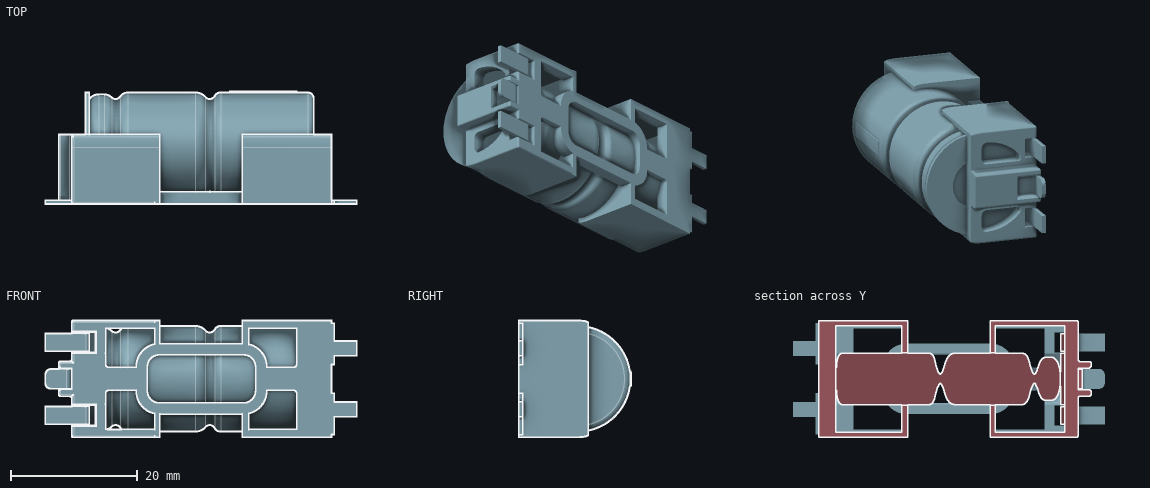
import cadquery as cq
import math


length = 49.2
housing_half_width = 9.25
housing_height = 11.0
sheet = 0.65

cell_axis_y = 9.3
cell_radius = 8.35
cell_end_x = 42.4
cell_end_fillet = 1.0
bead_radius = 8.05
bead_start_x = 8.45
bead_end_x = 9.3
cap_radius = 7.35
groove_radius = 7.35
groove_bottom_round = 0.9
end_groove_x = 11.1
end_groove_right_run = 1.9
mid_groove_x = 26.0
mid_groove_left_run = 2.25
mid_groove_right_run = 1.7
pad_start_x = 29.15
pad_end_x = 39.7
pad_half_width = 1.2
pad_radius = 8.5

ring_left_x = 6.35
ring_right_x = ring_left_x + sheet
ring_hole_radius = 4.0
side_leg_z = 5.75
side_leg_width = 2.85
bend_inner_radius = 0.5
side_leg_bend = 0.6

tab_width = 3.15
tab_tip_fillet = 0.95
tab_bend = 0.85

left_block_x = 4.2
left_block_end_x = 18.1
right_block_x = 31.1
right_block_end_x = 45.2
edge_round = 0.3
shoulder_y = 9.0
shoulder_top_y = 10.65
shoulder_inset = 0.15
top_bevel = 0.2
floor_thickness = 1.95
cavity_half_width = 8.35

oval_start_x = 16.15
oval_end_x = 33.2
oval_half_width = 3.8
oval_corner = 1.85
frame_width = 1.75
left_windows_x = (9.55, 17.25)
right_windows_x = (32.15, 39.7)
window_inner_z = 1.8
window_outer_z = 7.95
window_fillet = 0.5

boss_left_x = 2.1
boss_half_width = 2.75
boss_edge_round = 0.3
boss_root_round = 0.35
tab_pocket_half_width = 1.65
tab_pocket_height = 4.0
tab_pocket_flare = 0.3

leg_pocket_width = 3.15
leg_pocket_end_x = 7.9
leg_pocket_height = 2.0
pocket_chamfer = 0.15

tear_center_y = 8.45
tear_radius = 7.4
tear_low_y = 2.7
tear_high_y = 9.25
tear_inner_z = 3.8
tear_high_fillet = 0.9
tear_low_fillet = 0.3

foot_plate_end_x = 45.65
foot_plate_half_width = 8.8
foot_notch_half_width = 2.25
foot_z = 4.8
foot_width = 2.35


def block(x0, x1, y0, y1, z0, z1):
    """Box between two corners."""
    return cq.Workplane("XY").box(x1 - x0, y1 - y0, z1 - z0, centered=False).translate((x0, y0, z0))


def centred_block(x0, x1, y0, y1, z, width):
    """Box of a given width centred on a Z position."""
    return block(x0, x1, y0, y1, z - width / 2, z + width / 2)


def cylinder(x0, x1, radius):
    """Cylinder on the cell axis."""
    return cq.Workplane("YZ", origin=(x0, cell_axis_y, 0)).circle(radius).extrude(x1 - x0)


def arc_middle(center, start, end, radius):
    """Point halfway along the short arc between two points of a circle."""
    dx = (start[0] + end[0]) / 2 - center[0]
    dy = (start[1] + end[1]) / 2 - center[1]
    scale = radius / math.hypot(dx, dy)
    return (center[0] + dx * scale, center[1] + dy * scale)



def groove_flank(bottom_x, outer_radius, run):
    """Points of one S-shaped groove flank, from the groove bottom outward.

    A negative run goes to the left. Returns (arc middle, inflection, arc middle, flank top).
    """
    rise = outer_radius - groove_radius
    radius_sum = (run**2 + rise**2) / (2 * rise)
    shoulder_round = radius_sum - groove_bottom_round
    share = groove_bottom_round / radius_sum
    bottom = (bottom_x, groove_radius)
    top = (bottom_x + run, outer_radius)
    inflection = (bottom_x + run * share, groove_radius + rise * share)
    bottom_center = (bottom_x, groove_radius + groove_bottom_round)
    top_center = (top[0], outer_radius - shoulder_round)
    bottom_middle = arc_middle(bottom_center, bottom, inflection, groove_bottom_round)
    top_middle = arc_middle(top_center, inflection, top, shoulder_round)
    return bottom_middle, inflection, top_middle, top


def add_groove(profile, bottom_x, left_radius, left_run, right_run):
    """Carry the cell profile down one groove flank and up the other."""
    bottom_middle, inflection, top_middle, top = groove_flank(bottom_x, left_radius, -left_run)
    profile = profile.lineTo(*top).threePointArc(top_middle, inflection)
    profile = profile.threePointArc(bottom_middle, (bottom_x, groove_radius))
    bottom_middle, inflection, top_middle, top = groove_flank(bottom_x, cell_radius, right_run)
    return profile.threePointArc(bottom_middle, inflection).threePointArc(top_middle, top)


def make_cell():
    bead_run = bead_start_x - ring_right_x
    bead_rise = bead_radius - cap_radius
    bead_round = (bead_run**2 + bead_rise**2) / (2 * bead_rise)
    cap_edge = (ring_right_x, cap_radius)
    bead_start = (bead_start_x, bead_radius)
    bead_center = (bead_start_x, bead_radius - bead_round)
    profile = cq.Workplane("XZ").moveTo(ring_right_x, 0).lineTo(*cap_edge)
    profile = profile.threePointArc(arc_middle(bead_center, cap_edge, bead_start, bead_round), bead_start)
    profile = add_groove(profile, end_groove_x, bead_radius, end_groove_x - bead_end_x, end_groove_right_run)
    profile = add_groove(profile, mid_groove_x, cell_radius, mid_groove_left_run, mid_groove_right_run)
    profile = profile.lineTo(cell_end_x, cell_radius).lineTo(cell_end_x, 0).close()
    can = profile.revolve(360, (0, 0, 0), (1, 0, 0)).faces(">X").edges().fillet(cell_end_fillet)
    can = can.translate((0, cell_axis_y, 0))
    pad_bounds = centred_block(
        pad_start_x, pad_end_x, cell_axis_y, cell_axis_y + pad_radius, 0, 2 * pad_half_width
    )
    pad = cylinder(pad_start_x, pad_end_x, pad_radius).intersect(pad_bounds)
    return can.union(pad)



def bent_leg(left_x, top_y, z, width, outer_radius):
    """Flat leg from X = 0 that bends upward into a strip starting at left_x."""
    profile = (
        cq.Workplane("XY", origin=(0, 0, z - width / 2))
        .moveTo(0, 0)
        .lineTo(left_x + sheet, 0)
        .lineTo(left_x + sheet, top_y)
        .lineTo(left_x, top_y)
        .lineTo(left_x, sheet)
        .lineTo(0, sheet)
        .close()
    )
    leg = profile.extrude(width)
    leg = leg.edges(cq.selectors.NearestToPointSelector((left_x, sheet, z))).fillet(bend_inner_radius)
    return leg.edges(cq.selectors.NearestToPointSelector((left_x + sheet, 0, z))).fillet(outer_radius)


def make_ring_contact():
    ring = cylinder(ring_left_x, ring_right_x, cell_radius)
    for z in (-side_leg_z, side_leg_z):
        leg_top_y = cell_axis_y - ring_hole_radius
        ring = ring.union(bent_leg(ring_left_x, leg_top_y, z, side_leg_width, side_leg_bend))
    return ring.cut(cylinder(ring_left_x, ring_right_x, ring_hole_radius))


def make_centre_contact():
    tab = bent_leg(left_block_x - sheet, tab_pocket_height, 0, tab_width, tab_bend)
    return tab.faces("<X").edges("|Y").fillet(tab_tip_fillet)



def holder_block(x0, x1):
    """Block whose side walls curve in slightly toward the open top."""
    rise = shoulder_top_y - shoulder_y
    wall_round = (rise**2 + shoulder_inset**2) / (2 * shoulder_inset)
    shoulder = (shoulder_y, housing_half_width)
    curve_end = (shoulder_top_y, housing_half_width - shoulder_inset)
    top = (housing_height, curve_end[1] - top_bevel)
    middle = arc_middle((shoulder_y, housing_half_width - wall_round), shoulder, curve_end, wall_round)
    return (
        cq.Workplane("YZ", origin=(x0, 0, 0))
        .moveTo(0, housing_half_width)
        .lineTo(*shoulder)
        .threePointArc(middle, curve_end)
        .lineTo(*top)
        .lineTo(top[0], -top[1])
        .lineTo(curve_end[0], -curve_end[1])
        .threePointArc((middle[0], -middle[1]), (shoulder[0], -shoulder[1]))
        .lineTo(0, -housing_half_width)
        .close()
        .extrude(x1 - x0)
    )


def left_block():
    """Left block with its bottom and end edges rounded up to the end of the floor windows."""
    rounded_end_x = left_windows_x[1]
    rounded = holder_block(left_block_x, rounded_end_x)
    bottom_edges = rounded.faces("<Y").edges("|X or <X")
    end_edges = rounded.faces("<X").edges("<Z or >Z")
    rounded = bottom_edges.add(end_edges).fillet(edge_round)
    return rounded.union(holder_block(rounded_end_x, left_block_end_x))


def boss():
    """Tall boss on the left end wall, blended into the wall."""
    body = centred_block(boss_left_x, ring_left_x, 0, housing_height, 0, 2 * boss_half_width)
    body = body.faces("<X").edges("|Y").fillet(boss_edge_round)
    return body.faces("<Y").edges("<X").fillet(boss_edge_round)


def boss_root(side):
    """Concave blend between one side of the boss and the end wall."""
    root = block(
        left_block_x - boss_root_round, left_block_x + edge_round, edge_round, housing_height,
        boss_half_width, boss_half_width + boss_root_round,
    )
    hollow = (
        cq.Workplane("XZ", origin=(left_block_x - boss_root_round, 0, boss_half_width + boss_root_round))
        .circle(boss_root_round)
        .extrude(-housing_height)
    )
    root = root.cut(hollow)
    return root if side > 0 else root.mirror("XY")


def cell_cavity():
    """Round seat for the cell, squared off above the floor inside both blocks."""
    cavity = cylinder(ring_left_x, cell_end_x, cell_radius)
    for x0, x1 in ((ring_left_x, left_windows_x[1]), (right_windows_x[0], cell_end_x)):
        cavity = cavity.union(
            centred_block(x0, x1, floor_thickness, cell_axis_y, 0, 2 * cavity_half_width)
        )
    return cavity


def oval_outline(margin):
    """Rounded rectangle around the oval floor opening, grown by a margin, up to the cell axis."""
    middle_x = (oval_start_x + oval_end_x) / 2
    return (
        cq.Workplane("XZ", origin=(middle_x, 0, 0))
        .rect(oval_end_x - oval_start_x + 2 * margin, 2 * (oval_half_width + margin))
        .extrude(-cell_axis_y)
        .edges("|Y")
        .fillet(oval_corner + margin)
    )


def floor_windows():
    """Four corner windows in the floor that leave a frame around the oval opening."""
    frame = oval_outline(frame_width)
    windows = []
    for (x0, x1), outer_side in ((left_windows_x, "<X"), (right_windows_x, ">X")):
        window = block(x0, x1, 0, cell_axis_y, window_inner_z, window_outer_z)
        window = window.edges("|Y").edges("<Z").edges(outer_side).fillet(window_fillet).cut(frame)
        windows += [window, window.mirror("XY")]
    return windows


def side_leg_pocket(z):
    """Pocket for a side leg that opens into the cell cavity, with a chamfered mouth."""
    pocket = centred_block(0, leg_pocket_end_x, 0, leg_pocket_height, z, leg_pocket_width)
    mouth_length = leg_pocket_end_x + pocket_chamfer
    mouth = (
        cq.Workplane("XZ", origin=(mouth_length / 2, 0, z))
        .rect(mouth_length, leg_pocket_width + 2 * pocket_chamfer)
        .extrude(-pocket_chamfer, taper=45)
    )
    return pocket.union(mouth)


def centre_pocket():
    """Pocket in the boss for the centre contact, flared toward the left."""
    flare_end_x = boss_left_x + tab_pocket_flare
    mouth_half_width = tab_pocket_half_width + tab_pocket_flare
    return (
        cq.Workplane("XZ")
        .moveTo(boss_left_x, mouth_half_width)
        .lineTo(flare_end_x, tab_pocket_half_width)
        .lineTo(left_block_x, tab_pocket_half_width)
        .lineTo(left_block_x, -tab_pocket_half_width)
        .lineTo(flare_end_x, -tab_pocket_half_width)
        .lineTo(boss_left_x, -mouth_half_width)
        .close()
        .extrude(-tab_pocket_height)
    )


def teardrop():
    """Opening through the left end wall, closed on its outer side by an arc."""
    tear_center = (tear_center_y, 0)
    high = (tear_high_y, math.sqrt(tear_radius**2 - (tear_high_y - tear_center_y) ** 2))
    low = (tear_low_y, math.sqrt(tear_radius**2 - (tear_low_y - tear_center_y) ** 2))
    opening = (
        cq.Workplane("YZ", origin=(left_block_x, 0, 0))
        .moveTo(tear_low_y, tear_inner_z)
        .lineTo(tear_high_y, tear_inner_z)
        .lineTo(*high)
        .threePointArc(arc_middle(tear_center, high, low, tear_radius), low)
        .close()
        .extrude(ring_left_x - left_block_x)
    )
    opening = opening.edges("|X").edges(">Y").fillet(tear_high_fillet)
    return opening.edges("|X").edges("<Y").edges("<Z").fillet(tear_low_fillet)


def feet():
    """Thin foot plates and solder feet at the right end, flush with the underside."""
    plate_width = foot_plate_half_width - foot_notch_half_width
    plate_z = (foot_plate_half_width + foot_notch_half_width) / 2
    parts = []
    for side in (-1, 1):
        plate = centred_block(right_block_end_x, foot_plate_end_x, 0, sheet, side * plate_z, plate_width)
        foot = centred_block(right_block_end_x, length, 0, sheet, side * foot_z, foot_width)
        parts += [plate, foot]
    return parts


def make_housing():
    bridge_half_width = oval_half_width + frame_width
    body = left_block().union(holder_block(right_block_x, right_block_end_x))
    body = body.union(
        centred_block(left_block_end_x, right_block_x, 0, floor_thickness, 0, 2 * bridge_half_width)
    )
    body = body.union(boss())
    for side in (-1, 1):
        body = body.union(boss_root(side))
    for foot in feet():
        body = body.union(foot)
    body = body.cut(cell_cavity())
    body = body.cut(oval_outline(0)).cut(centre_pocket())
    for window in floor_windows():
        body = body.cut(window)
    for z in (-side_leg_z, side_leg_z):
        body = body.cut(side_leg_pocket(z))
    opening = teardrop()
    return body.cut(opening).cut(opening.mirror("XY"))


housing = make_housing()
cell = make_cell()
ring_contact = make_ring_contact()
centre_contact = make_centre_contact()

result = cq.Compound.makeCompound(
    [housing.val(), cell.val(), ring_contact.val(), centre_contact.val()]
)